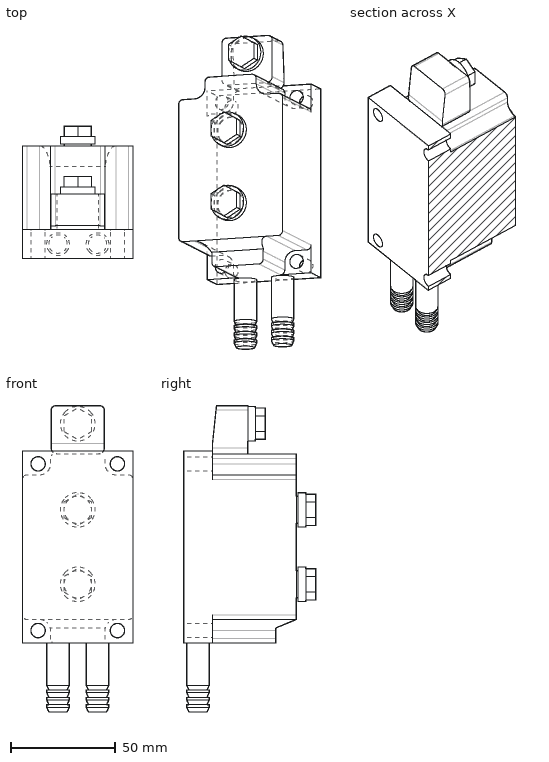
import cadquery as cq
import math

plate_width = 53.0
plate_thickness = 13.8
plate_bottom = 33.1
plate_top = 125.2

hole_diameter = 6.8
hole_spacing_x = 38.0
hole_spacing_z = 80.0
hole_edge_distance = 6.0
hole_bottom_z = plate_bottom + hole_edge_distance
hole_top_z = hole_bottom_z + hole_spacing_z

body_back = 54.1
body_top = 123.9
body_bottom = plate_bottom
lobe_width = 26.2
relief_radius = 5.3
edge_radius = 2.2

ramp_front = 44.2
ramp_rise = 4.1

total_height = 147.0
terminal_width = 25.6
terminal_back = 30.9
terminal_radius = 2.2
terminal_foot_radius = 2.8
slope_start_z = 128.8
slope_setback = 1.9

bolt_flats = 13.1
bolt_head_height = 4.9
flange_diameter = 16.6
flange_thickness = 3.8
collar_diameter = bolt_flats
collar_height = 0.7
upper_bolt_z = 97.0
lower_bolt_z = 61.3
terminal_bolt_z = 138.3
terminal_bolt_sink = 0.3

hose_diameter = 10.9
hose_spacing = 19.0
barb_count = 4
barb_pitch = 3.5
barb_cone_length = 2.2
barb_depth = 1.0
hose_overlap = 1.5


def centred_block(width, y_range, z_range):
    """Block centred on X = 0 that fills the given Y and Z ranges."""
    y_start, y_end = y_range
    z_start, z_end = z_range
    block = cq.Workplane("XY").box(width, y_end - y_start, z_end - z_start, centered=(True, False, False))
    return block.translate((0, y_start, z_start))


def cylinder_along_y(diameter, x, z, y_start, length):
    circle = cq.Workplane("XZ", origin=(x, y_start, z)).circle(diameter / 2)
    return circle.extrude(-length)


def make_plate():
    return centred_block(plate_width, (0, plate_thickness), (plate_bottom, plate_top))


def make_body():
    """Block with a rounded relief in every corner, leaving a lobe above and below."""
    half_width = plate_width / 2
    half_lobe = lobe_width / 2
    arc_end_x = half_lobe + relief_radius
    lower_shoulder = hole_bottom_z + relief_radius
    upper_shoulder = hole_top_z - relief_radius
    diagonal = relief_radius * math.sqrt(0.5)
    arc_mid_x = arc_end_x - diagonal

    right_half = (
        cq.Workplane("XZ", origin=(0, plate_thickness, 0))
        .moveTo(0, body_bottom)
        .lineTo(half_lobe, body_bottom)
        .lineTo(half_lobe, hole_bottom_z)
        .threePointArc((arc_mid_x, hole_bottom_z + diagonal), (arc_end_x, lower_shoulder))
        .lineTo(half_width, lower_shoulder)
        .lineTo(half_width, upper_shoulder)
        .lineTo(arc_end_x, upper_shoulder)
        .threePointArc((arc_mid_x, hole_top_z - diagonal), (half_lobe, hole_top_z))
        .lineTo(half_lobe, body_top)
        .lineTo(0, body_top)
        .close()
        .extrude(plate_thickness - body_back)
    )
    body = right_half.union(right_half.mirror("YZ"))

    for x in (-half_width, half_width):
        for z in (lower_shoulder, upper_shoulder):
            body = round_edge(body, x, z)
    for x in (-half_lobe, half_lobe):
        for z in (body_bottom, body_top):
            body = round_edge(body, x, z)

    ramp = (
        cq.Workplane("YZ", origin=(-half_width, 0, 0))
        .moveTo(ramp_front, body_bottom)
        .lineTo(ramp_front, lower_shoulder - ramp_rise)
        .lineTo(body_back, lower_shoulder)
        .lineTo(body_back, body_bottom)
        .close()
        .extrude(plate_width)
    )
    return body.cut(ramp)


def round_edge(body, x, z):
    """Round the edge along Y that passes through (x, z)."""
    middle = (x, (plate_thickness + body_back) / 2, z)
    return body.edges(cq.selectors.NearestToPointSelector(middle)).fillet(edge_radius)


def make_terminal():
    """Block with rounded sides whose front face leans back above its foot."""
    block = centred_block(terminal_width, (plate_thickness, terminal_back), (body_top, total_height))
    block = block.edges("|Y and >Z").fillet(terminal_radius)
    block = block.edges("|Y and <Z").fillet(terminal_foot_radius)
    wedge = (
        cq.Workplane("YZ", origin=(-terminal_width / 2, 0, 0))
        .moveTo(plate_thickness, slope_start_z)
        .lineTo(plate_thickness + slope_setback, total_height)
        .lineTo(plate_thickness, total_height)
        .close()
        .extrude(terminal_width)
    )
    return block.cut(wedge)


def make_bolt(z, seat_y):
    """Flanged hexagon head whose flange starts at seat_y, two corners pointing up and down."""
    head_start = seat_y + flange_thickness
    flange = cylinder_along_y(flange_diameter, 0, z, seat_y, flange_thickness)
    head = (
        cq.Workplane("XZ", origin=(0, head_start, z))
        .polygon(6, bolt_flats, circumscribed=True)
        .extrude(-bolt_head_height)
    )
    return flange.union(head)


def make_hose(x):
    """Hose stub with saw-tooth barbs at its lower end."""
    radius = hose_diameter / 2
    hose_top = plate_bottom + hose_overlap
    outline = cq.Workplane("XZ").moveTo(0, 0).lineTo(radius - barb_depth, 0)
    for index in range(barb_count):
        cone_top = index * barb_pitch + barb_cone_length
        outline = outline.lineTo(radius, cone_top)
        if index < barb_count - 1:
            next_cone = (index + 1) * barb_pitch
            outline = outline.lineTo(radius, next_cone).lineTo(radius - barb_depth, next_cone)
    outline = outline.lineTo(radius, hose_top).lineTo(0, hose_top).close()
    hose = outline.revolve(360, (0, 0, 0), (0, 1, 0))
    return hose.translate((x, plate_thickness / 2, 0))


result = make_plate().union(make_body()).union(make_terminal())

for bolt_z in (upper_bolt_z, lower_bolt_z):
    collar = cylinder_along_y(collar_diameter, 0, bolt_z, body_back, collar_height)
    result = result.union(collar).union(make_bolt(bolt_z, body_back + collar_height))
result = result.union(make_bolt(terminal_bolt_z, terminal_back - terminal_bolt_sink))

for side in (-1, 1):
    result = result.union(make_hose(side * hose_spacing / 2))

for x in (-hole_spacing_x / 2, hole_spacing_x / 2):
    for z in (hole_bottom_z, hole_top_z):
        result = result.cut(cylinder_along_y(hole_diameter, x, z, 0, plate_thickness))